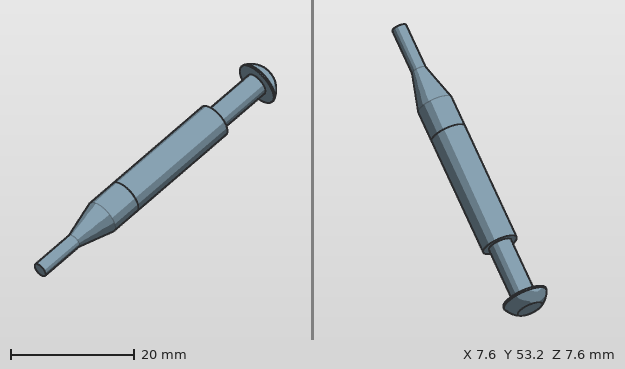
import cadquery as cq
import math

total_length = 53.2
head_height = 2.2
rim_thickness = 0.3
shank_length = 10.0
sleeve_length = 21.0
collar_length = 5.5
pin_length = 8.0

head_radius = 7.6 / 2
crown_radius = 4.35 / 2
shank_radius = 4.0 / 2
sleeve_radius = 6.0 / 2
pin_radius = 2.5 / 2

crown_y = total_length
head_seat_y = crown_y - head_height
rim_top_y = head_seat_y + rim_thickness
sleeve_top_y = head_seat_y - shank_length
sleeve_bottom_y = sleeve_top_y - sleeve_length
cone_top_y = sleeve_bottom_y - collar_length
cone_bottom_y = pin_length


def cylinder(bottom_y, top_y, radius):
    """Solid cylinder on the Y axis."""
    return (
        cq.Workplane("XZ", origin=(0, top_y, 0))
        .circle(radius)
        .extrude(top_y - bottom_y)
    )


def dome_midpoint():
    """(Y, radius) halfway along the head dome, a sphere centred on the Y axis."""
    dome_height = crown_y - rim_top_y
    centre_depth = (head_radius**2 - crown_radius**2 - dome_height**2) / (2 * dome_height)
    sphere_radius = math.hypot(head_radius, centre_depth)
    rim_angle = math.atan2(centre_depth, head_radius)
    crown_angle = math.atan2(centre_depth + dome_height, crown_radius)
    middle_angle = (rim_angle + crown_angle) / 2
    middle_y = rim_top_y - centre_depth + sphere_radius * math.sin(middle_angle)
    return middle_y, sphere_radius * math.cos(middle_angle)


def make_screw():
    """Button-head screw whose shank butts against the sleeve."""
    return (
        cq.Workplane("YZ")
        .moveTo(sleeve_top_y, 0)
        .lineTo(sleeve_top_y, shank_radius)
        .lineTo(head_seat_y, shank_radius)
        .lineTo(head_seat_y, head_radius)
        .lineTo(rim_top_y, head_radius)
        .threePointArc(dome_midpoint(), (crown_y, crown_radius))
        .lineTo(crown_y, 0)
        .close()
        .revolve(360, (0, 0, 0), (1, 0, 0))
    )


def make_sleeve():
    """Plain cylindrical body between the screw and the nose."""
    return cylinder(sleeve_bottom_y, sleeve_top_y, sleeve_radius)


def make_nose():
    """Cylindrical collar tapering to a slender pin."""
    return (
        cq.Workplane("YZ")
        .moveTo(0, 0)
        .lineTo(0, pin_radius)
        .lineTo(cone_bottom_y, pin_radius)
        .lineTo(cone_top_y, sleeve_radius)
        .lineTo(sleeve_bottom_y, sleeve_radius)
        .lineTo(sleeve_bottom_y, 0)
        .close()
        .revolve(360, (0, 0, 0), (1, 0, 0))
    )


screw = make_screw()
sleeve = make_sleeve()
nose = make_nose()

result = cq.Compound.makeCompound([screw.val(), sleeve.val(), nose.val()])